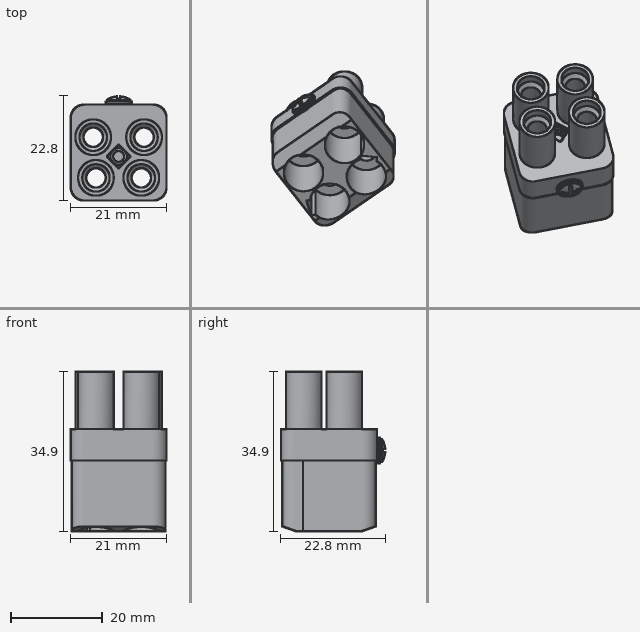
import cadquery as cq
import math

collar_width = 21.0
collar_corner_radius = 3.0
collar_inset = 0.25
body_width = collar_width - 2 * collar_inset
body_corner_radius = collar_corner_radius - collar_inset
body_height = 15.45
collar_height = 6.9
total_height = 34.9
collar_top = body_height + collar_height

bevel_run = 3.1
bevel_rise = 1.1

contact_centres = [(-5.55, 3.35), (5.55, 3.35), (-4.95, -5.53), (4.95, -5.53)]
tube_radius = 3.9
bore_radius = 2.1
mouth_radius = 3.0
mouth_depth = 2.2
funnel_depth = mouth_radius - bore_radius
socket_radius = 4.3
socket_depth = body_height

key_slots = [(2, 133), (3, 18.7)]
key_width = 3.6
key_depth = 0.9

recess_y = -0.85
recess_side = 3.65
recess_step_radii = [recess_side / 2, 1.2]
recess_step_depth = 1.0

screw_z = 17.65
screw_root_y = body_width / 2
screw_top_y = 12.32
flange_radius = 2.88
flange_thickness = 0.45
flange_taper = 0.4
head_radius = 2.55
dome_height = 0.8
slot_width = 0.65
slot_depth = 0.5


def rounded_block(width, height, corner_radius):
    block = cq.Workplane("XY").box(width, width, height, centered=(True, True, False))
    return block.edges("|Z").fillet(corner_radius)


def cylinder(radius, bottom, top, centre):
    return cq.Workplane("XY", origin=(*centre, bottom)).circle(radius).extrude(top - bottom)


def lower_bevel(side):
    """Triangular prism removed along the lower edge; side is +1 or -1 in Y."""
    face_y = side * body_width / 2
    corner = [(face_y, 0), (face_y - side * bevel_run, 0), (face_y, bevel_rise)]
    return cq.Workplane("YZ").polyline(corner).close().extrude(body_width / 2, both=True)


def contact_cavity(centre):
    """Lower socket, bore, funnel and mouth, as one solid of revolution."""
    mouth_floor = total_height - mouth_depth
    half_section = [
        (0, 0),
        (socket_radius, 0),
        (socket_radius, socket_depth),
        (bore_radius, socket_depth),
        (bore_radius, mouth_floor - funnel_depth),
        (mouth_radius, mouth_floor),
        (mouth_radius, total_height),
        (0, total_height),
    ]
    plane = cq.Workplane("XZ", origin=(*centre, 0))
    return plane.polyline(half_section).close().revolve(360, (0, 0), (0, 1))


def key_slot(centre, direction):
    """Flat-sided slot running from the socket axis out past the socket wall."""
    wall_distance = math.sqrt(socket_radius**2 - (key_width / 2) ** 2)
    slot_length = wall_distance + key_depth
    slot = cq.Workplane("XY").box(slot_length, key_width, socket_depth, centered=(False, True, False))
    return slot.rotate((0, 0, 0), (0, 0, 1), direction).translate((*centre, 0))


def centre_recess():
    """Diagonal square pocket with two round steps below it."""
    centre = (0, recess_y)
    recess = (
        cq.Workplane("XY", origin=(*centre, collar_top))
        .transformed(rotate=(0, 0, 45))
        .rect(recess_side, recess_side)
        .extrude(-recess_step_depth)
    )
    for step, radius in enumerate(recess_step_radii, start=2):
        recess = recess.union(cylinder(radius, collar_top - step * recess_step_depth, collar_top, centre))
    return recess


def screw_head():
    """Domed head with a flange and a cross slot, its axis along Y."""
    dome_radius = (head_radius**2 + dome_height**2) / (2 * dome_height)
    half_angle = math.asin(head_radius / dome_radius) / 2
    arc_middle = (
        dome_radius * math.sin(half_angle),
        screw_top_y - dome_radius * (1 - math.cos(half_angle)),
    )
    flange_bottom = screw_root_y + flange_taper
    flange_top = flange_bottom + flange_thickness
    head = (
        cq.Workplane("XY", origin=(0, 0, screw_z))
        .moveTo(0, screw_root_y)
        .lineTo(flange_radius - flange_taper, screw_root_y)
        .lineTo(flange_radius, flange_bottom)
        .lineTo(flange_radius, flange_top)
        .lineTo(head_radius, flange_top)
        .lineTo(head_radius, screw_top_y - dome_height)
        .threePointArc(arc_middle, (0, screw_top_y))
        .close()
        .revolve(360, (0, 0), (0, 1))
    )
    slot_length = 2 * head_radius
    slot_middle = (0, screw_top_y - slot_depth / 2, screw_z)
    for size_x, size_z in [(slot_length, slot_width), (slot_width, slot_length)]:
        head = head.cut(cq.Workplane("XY").box(size_x, slot_depth, size_z).translate(slot_middle))
    return head


housing = rounded_block(body_width, body_height, body_corner_radius)
for side in (-1, 1):
    housing = housing.cut(lower_bevel(side))

collar = rounded_block(collar_width, collar_height, collar_corner_radius)
housing = housing.union(collar.translate((0, 0, body_height)))

for contact_centre in contact_centres:
    housing = housing.union(cylinder(tube_radius, body_height, total_height, contact_centre))
for contact_centre in contact_centres:
    housing = housing.cut(contact_cavity(contact_centre))
for contact_index, direction in key_slots:
    housing = housing.cut(key_slot(contact_centres[contact_index], direction))

result = housing.cut(centre_recess()).union(screw_head())